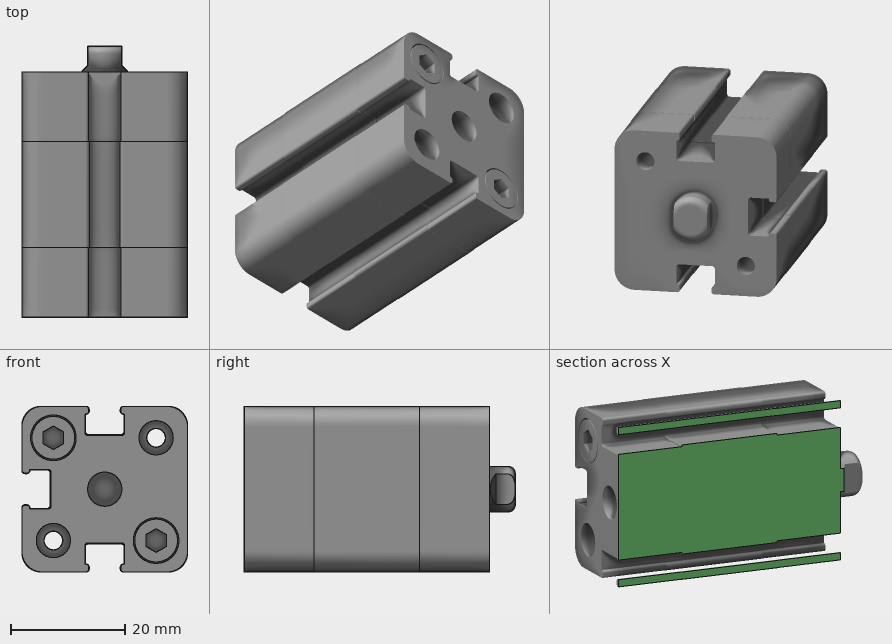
import cadquery as cq
import math

CAP_LENGTH = 12.25
MIDDLE_LENGTH = 18.5
BODY_LENGTH = 2 * CAP_LENGTH + MIDDLE_LENGTH
CAP_WIDTH = 29.0
CAP_CORNER_RADIUS = 3.5
MIDDLE_WIDTH = 29.05
MIDDLE_CORNER_RADIUS = 3.4

SLOT_ANGLES = (0, 90, 180)
SLOT_EDGE_HALF_WIDTH = 3.3
CAP_CHAMBER_HALF_WIDTH = 3.45
MIDDLE_CHAMBER_HALF_WIDTH = 3.4
SLOT_CORNER_RADIUS = 0.5
LIP_HEIGHT = 1.4
CAP_MOUTH_HALF_WIDTH = 2.85
MIDDLE_MOUTH_HALF_WIDTH = 2.7
CAP_FLOOR_HEIGHT = 9.4
MIDDLE_FLOOR_HEIGHT = 9.6

ROD_DIAMETER = 8.0
ROD_LENGTH = 4.5
ROD_TIP_RADIUS = 1.3
ROD_ACROSS_FLATS = 6.0
FLAT_LENGTH = 3.4

HOLE_OFFSET = 9.0
MOUNT_BORE_DIAMETER = 3.24
MOUNT_COUNTERBORE_DIAMETER = 6.0
MOUNT_COUNTERBORE_DEPTH = 3.5
CENTER_BORE_DIAMETER = 6.0
CENTER_BORE_DEPTH = 6.0
SCREW_RECESS_DIAMETER = 8.0
SCREW_HEAD_DIAMETER = 7.5
SCREW_HEAD_HEIGHT = 4.0
HEX_CORNER_DIAMETER = 4.13
HEX_DEPTH = 3.0
HEX_TURN = 90

MOUNT_POINTS = [(HOLE_OFFSET, HOLE_OFFSET), (-HOLE_OFFSET, -HOLE_OFFSET)]
SCREW_POINTS = [(-HOLE_OFFSET, HOLE_OFFSET), (HOLE_OFFSET, -HOLE_OFFSET)]


def section_plane(y):
    """Workplane at the given Y with local axes X and Z; negative extrusions run along +Y."""
    return cq.Workplane(cq.Plane(origin=(0, y, 0), xDir=(1, 0, 0), normal=(0, -1, 0)))


def slot_cutter(y_start, length, face_height, mouth, wall, floor_height):
    """Undercut slot open towards +Z, running along Y."""
    lip_radius = SLOT_EDGE_HALF_WIDTH - mouth
    lip_bottom = face_height - LIP_HEIGHT
    diagonal = lip_radius * (1 - math.sqrt(0.5))
    edge = SLOT_EDGE_HALF_WIDTH
    profile = (
        section_plane(y_start)
        .moveTo(-edge, face_height)
        .threePointArc((-mouth - diagonal, face_height - diagonal), (-mouth, face_height - lip_radius))
        .lineTo(-mouth, lip_bottom + lip_radius)
        .threePointArc((-mouth - diagonal, lip_bottom + diagonal), (-edge, lip_bottom))
        .lineTo(-wall, lip_bottom)
        .lineTo(-wall, floor_height)
        .lineTo(wall, floor_height)
        .lineTo(wall, lip_bottom)
        .lineTo(edge, lip_bottom)
        .threePointArc((mouth + diagonal, lip_bottom + diagonal), (mouth, lip_bottom + lip_radius))
        .lineTo(mouth, face_height - lip_radius)
        .threePointArc((mouth + diagonal, face_height - diagonal), (edge, face_height))
        .close()
    )
    return profile.extrude(-length).faces("<Z").edges("|Y").fillet(SLOT_CORNER_RADIUS)


def housing_section(y_start, length, width, corner_radius, mouth, wall, floor_height):
    """Rounded square block with a slot along each slotted side."""
    block = section_plane(y_start).rect(width, width).extrude(-length).edges("|Y").fillet(corner_radius)
    slot = slot_cutter(y_start, length, width / 2, mouth, wall, floor_height)
    for angle in SLOT_ANGLES:
        block = block.cut(slot.rotate((0, 0, 0), (0, -1, 0), angle))
    return block


def end_cap(y_start):
    return housing_section(
        y_start,
        CAP_LENGTH,
        CAP_WIDTH,
        CAP_CORNER_RADIUS,
        CAP_MOUTH_HALF_WIDTH,
        CAP_CHAMBER_HALF_WIDTH,
        CAP_FLOOR_HEIGHT,
    )


def middle_profile():
    return housing_section(
        CAP_LENGTH,
        MIDDLE_LENGTH,
        MIDDLE_WIDTH,
        MIDDLE_CORNER_RADIUS,
        MIDDLE_MOUTH_HALF_WIDTH,
        MIDDLE_CHAMBER_HALF_WIDTH,
        MIDDLE_FLOOR_HEIGHT,
    )


def piston_rod():
    """Round rod end with a rounded tip, flattened on both X sides."""
    rod = section_plane(BODY_LENGTH).circle(ROD_DIAMETER / 2).extrude(-ROD_LENGTH)
    rod = rod.faces(">Y").edges().fillet(ROD_TIP_RADIUS)
    tip_y = BODY_LENGTH + ROD_LENGTH
    flat_x = ROD_ACROSS_FLATS / 2
    flat_y = tip_y - FLAT_LENGTH
    runout = ROD_DIAMETER / 2 - flat_x
    envelope = (
        cq.Workplane("XY")
        .moveTo(-flat_x, tip_y)
        .lineTo(flat_x, tip_y)
        .lineTo(flat_x, flat_y)
        .lineTo(flat_x + runout, flat_y - runout)
        .lineTo(flat_x + runout, BODY_LENGTH)
        .lineTo(-flat_x - runout, BODY_LENGTH)
        .lineTo(-flat_x - runout, flat_y - runout)
        .lineTo(-flat_x, flat_y)
        .close()
        .extrude(ROD_DIAMETER / 2, both=True)
    )
    return rod.intersect(envelope)


def mounting_holes():
    """Through bores, counterbored from the front face."""
    bores = section_plane(0).pushPoints(MOUNT_POINTS).circle(MOUNT_BORE_DIAMETER / 2).extrude(-BODY_LENGTH)
    counterbores = (
        section_plane(0)
        .pushPoints(MOUNT_POINTS)
        .circle(MOUNT_COUNTERBORE_DIAMETER / 2)
        .extrude(-MOUNT_COUNTERBORE_DEPTH)
    )
    return bores.union(counterbores)


def center_bore():
    return section_plane(0).circle(CENTER_BORE_DIAMETER / 2).extrude(-CENTER_BORE_DEPTH)


def screw_gaps():
    """Ring gap around each flush screw head."""
    return (
        section_plane(0)
        .pushPoints(SCREW_POINTS)
        .circle(SCREW_RECESS_DIAMETER / 2)
        .circle(SCREW_HEAD_DIAMETER / 2)
        .extrude(-SCREW_HEAD_HEIGHT)
    )


def hex_socket(x, z):
    """Hexagon socket of one screw, with a corner pointing up."""
    hexagon = section_plane(0).polygon(6, HEX_CORNER_DIAMETER).extrude(-HEX_DEPTH)
    return hexagon.rotate((0, 0, 0), (0, 1, 0), HEX_TURN).translate((x, 0, z))


housing = end_cap(0).union(middle_profile()).union(end_cap(CAP_LENGTH + MIDDLE_LENGTH))
result = housing.union(piston_rod()).cut(mounting_holes()).cut(center_bore())
result = result.cut(screw_gaps())
for screw_x, screw_z in SCREW_POINTS:
    result = result.cut(hex_socket(screw_x, screw_z))